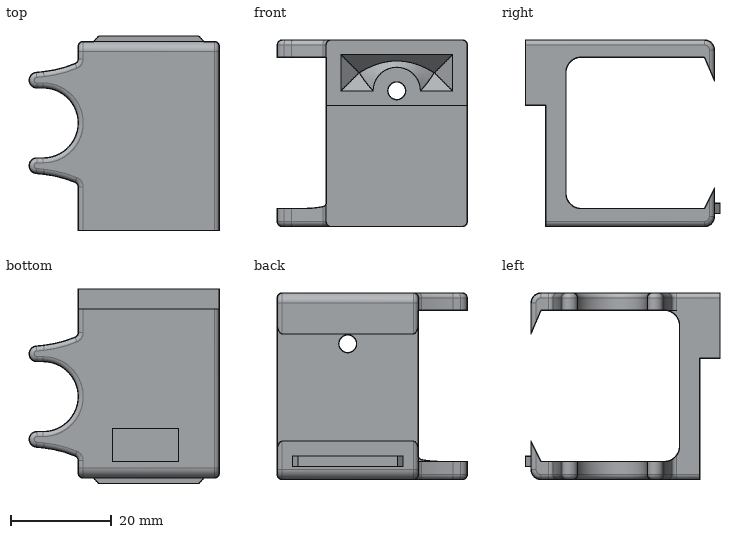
import cadquery as cq
import math

width = 28.0
height = 37.0
clip_depth = 37.5
roof_thickness = 3.45
floor_thickness = 3.6
wall_front = 4.0
wall_back = 8.07
head_depth = 12.98
lip_start = 35.5
upper_lip_drop = 4.67
lower_lip_rise = 4.0
inner_radius = 3.0
outer_radius = 2.0
edge_radius = 1.0
cavity_top = height - roof_thickness

fork_y = 21.35
fork_radius = 6.9
tip_radius = 1.565
tip_x = -8.15
flank_angle = math.radians(6)
flank_length = 1.45
root_half_width = 12.05
fork_reach = tip_radius - tip_x

tab_bottom = 2.6
tab_height = 2.1
tab_length = 21.9
tab_depth = 38.63 - clip_depth
tab_bevel = 1.05

recess_length = 22.1
recess_height = 7.15
recess_depth = recess_height / 2
screw_z = height - 10.1
boss_radius = 4.67
screw_radius = 1.75

window_x = 6.85
window_y = 27.7
window_length = 13.0
window_width = 6.55

overlap = 0.4
pick_margin = 0.05


def box(x, y, z, x_size, y_size, z_size):
    return cq.Workplane("XY").box(x_size, y_size, z_size, centered=False).translate((x, y, z))


def clip_profile():
    """C-shaped side outline, extruded across the body and the forks."""
    profile = (
        cq.Workplane("YZ", origin=(-fork_reach, 0, 0))
        .moveTo(wall_front, 0)
        .lineTo(clip_depth - outer_radius, 0)
        .radiusArc((clip_depth, outer_radius), -outer_radius)
        .lineTo(clip_depth, floor_thickness + lower_lip_rise)
        .lineTo(lip_start, floor_thickness)
        .lineTo(wall_back + inner_radius, floor_thickness)
        .radiusArc((wall_back, floor_thickness + inner_radius), inner_radius)
        .lineTo(wall_back, cavity_top - inner_radius)
        .radiusArc((wall_back + inner_radius, cavity_top), inner_radius)
        .lineTo(lip_start, cavity_top)
        .lineTo(clip_depth, cavity_top - upper_lip_drop)
        .lineTo(clip_depth, height - outer_radius)
        .radiusArc((clip_depth - outer_radius, height), -outer_radius)
        .lineTo(0, height)
        .lineTo(0, height - head_depth)
        .lineTo(wall_front, height - head_depth)
        .close()
    )
    return profile.extrude(width + fork_reach)


def fork_half(side):
    """Plan of one prong, from the fork's middle line to the outer root."""
    def point(x, offset):
        return (x, fork_y + side * offset)

    prong_y = fork_radius + tip_radius
    flank_x = tip_x - tip_radius * math.sin(flank_angle)
    flank_y = prong_y + tip_radius * math.cos(flank_angle)
    bend_x = flank_x + flank_length * math.cos(flank_angle)
    bend_y = flank_y + flank_length * math.sin(flank_angle)
    diagonal = fork_radius * math.sqrt(0.5)
    outline = (
        cq.Workplane("XY")
        .moveTo(*point(0, 0))
        .threePointArc(point(diagonal - fork_radius, diagonal), point(-fork_radius, fork_radius))
        .lineTo(*point(tip_x, fork_radius))
        .threePointArc(point(tip_x - tip_radius, prong_y), point(flank_x, flank_y))
        .lineTo(*point(bend_x, bend_y))
        .tangentArcPoint(point(0, root_half_width), relative=False)
        .lineTo(*point(overlap, root_half_width))
        .lineTo(*point(overlap, 0))
        .close()
    )
    return outline.extrude(height)


def clip():
    plan = box(0, 0, 0, width, clip_depth, height).union(fork_half(1)).union(fork_half(-1))
    body = clip_profile().intersect(plan.clean())
    relief_bottom = cavity_top - inner_radius
    relief = box(-fork_reach, wall_back, relief_bottom, fork_reach, 2 * inner_radius, inner_radius)
    body = body.cut(relief)
    for side in (-1, 1):
        root_y = fork_y + side * root_half_width
        corner = cq.selectors.BoxSelector(
            (-pick_margin, root_y - pick_margin, 0), (pick_margin, root_y + pick_margin, height)
        )
        body = body.edges("|Z").edges(corner).fillet(edge_radius)
    for face, front in ((">Z", 0), ("<Z", wall_front)):
        rim = body.faces(face).edges().filter(lambda edge: edge.Center().y > front + overlap)
        body = rim.fillet(edge_radius)
    return body


def tab():
    middle = width / 2
    root = tab_length / 2
    crest = root - tab_bevel
    return (
        cq.Workplane("XY", origin=(middle, clip_depth, tab_bottom))
        .polyline([(-root, -overlap), (-root, 0), (-crest, tab_depth),
                   (crest, tab_depth), (root, 0), (root, -overlap)])
        .close()
        .extrude(tab_height)
    )


def head_recess():
    """Hipped recess interrupted by the conical screw boss."""
    half = recess_length / 2
    trough = (
        cq.Workplane("YZ", origin=(width / 2 - half, 0, screw_z))
        .polyline([(0, 0), (recess_depth, recess_height / 2), (0, recess_height)])
        .close()
        .extrude(recess_length)
    )
    hips = (
        cq.Workplane("XY", origin=(width / 2, 0, screw_z))
        .polyline([(-half, 0), (half, 0), (half - recess_depth, recess_depth),
                   (recess_depth - half, recess_depth)])
        .close()
        .extrude(recess_height)
    )
    boss = cq.Solid.makeCone(
        boss_radius, boss_radius + recess_depth, recess_depth,
        pnt=cq.Vector(width / 2, 0, screw_z), dir=cq.Vector(0, 1, 0),
    )
    return trough.intersect(hips).cut(cq.Workplane(boss))


def screw_hole():
    return (
        cq.Workplane("XZ", origin=(width / 2, 0, screw_z))
        .circle(screw_radius)
        .extrude(-(wall_back + overlap))
    )


window = box(window_x, window_y, -overlap, window_length, window_width, floor_thickness + 2 * overlap)

result = clip().union(tab()).cut(head_recess()).cut(screw_hole()).cut(window)